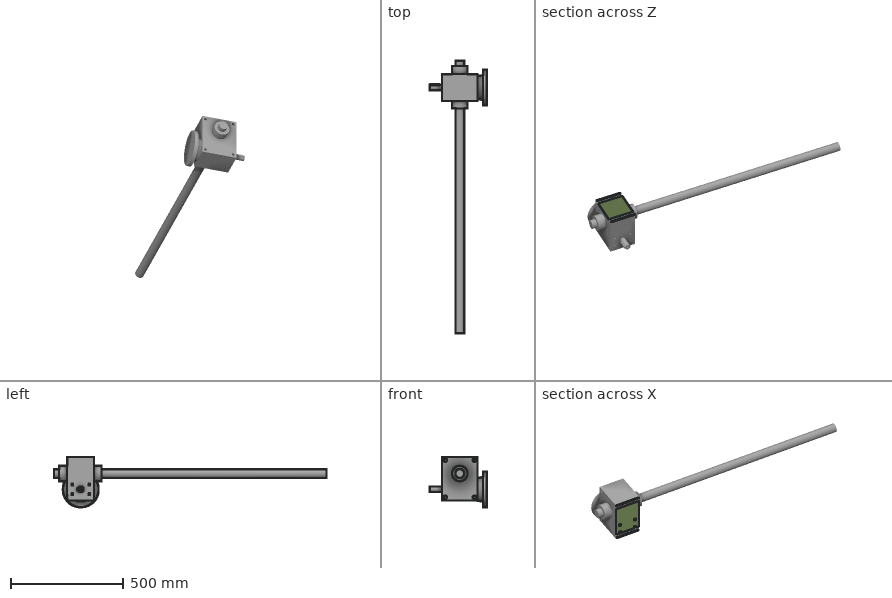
import cadquery as cq


housing_width = 159.0
housing_depth = 120.0
housing_height = 195.0
housing_top = 74.0
mount_hole_diameter = 13.0
mount_hole_pitch_x = 130.0
mount_hole_pitch_z = 165.0

sleeve_diameter = 69.0
front_sleeve_length = 33.0
rear_sleeve_length = 36.0

screw_diameter = 40.0
screw_length = 1215.0
screw_rear_overhang = 23.0

shaft_drop = 70.0
shaft_diameter = 25.0
shaft_length = 55.0
centre_hole_diameter = 6.7
centre_hole_depth = 18.0
key_length = 39.0
key_width = 9.0
key_height = 7.0
key_protrusion = 3.0
key_end_gap = 4.0

tapped_hole_diameter = 8.0
tapped_hole_depth = 18.0
tapped_hole_pitch_y = 75.0
tapped_hole_pitch_z = 43.0

hub_root_diameter = 103.0
hub_end_diameter = 110.0
hub_length = 24.0
flange_diameter = 160.0
flange_thickness = 17.0

housing_left = -housing_width / 2
housing_right = housing_width / 2
housing_front = -housing_depth / 2
housing_rear = housing_depth / 2
housing_mid_z = housing_top - housing_height / 2
shaft_end = housing_left - shaft_length
screw_rear_end = housing_rear + rear_sleeve_length + screw_rear_overhang
shaft_z = -shaft_drop


def cylinder_x(diameter, start, length, y=0, z=0):
    """Cylinder along +X from the plane X = start."""
    return cq.Workplane("YZ", origin=(start, y, z)).circle(diameter / 2).extrude(length)


def cylinder_y(diameter, start, length, x=0, z=0):
    """Cylinder along +Y from the plane Y = start."""
    return cq.Workplane("XZ", origin=(x, start, z)).circle(diameter / 2).extrude(-length)


def make_hub():
    """Hub that widens slightly from the housing to the flange."""
    root = cq.Workplane("YZ", origin=(housing_right, 0, shaft_z)).circle(hub_root_diameter / 2)
    return root.workplane(offset=hub_length).circle(hub_end_diameter / 2).loft(ruled=True)


def make_housing():
    """Gear housing with guide sleeves, motor flange and all its holes."""
    body = cq.Workplane("XY").box(housing_width, housing_depth, housing_height)
    body = body.translate((0, 0, housing_mid_z))

    sleeve_start = housing_front - front_sleeve_length
    sleeve_span = front_sleeve_length + housing_depth + rear_sleeve_length
    body = body.union(cylinder_y(sleeve_diameter, sleeve_start, sleeve_span))
    body = body.union(make_hub())
    body = body.union(cylinder_x(flange_diameter, housing_right + hub_length, flange_thickness, z=shaft_z))

    body = body.cut(cylinder_y(screw_diameter, sleeve_start, sleeve_span))

    for side_x in (-1, 1):
        for side_z in (-1, 1):
            hole_x = side_x * mount_hole_pitch_x / 2
            hole_z = housing_mid_z + side_z * mount_hole_pitch_z / 2
            body = body.cut(cylinder_y(mount_hole_diameter, housing_front, housing_depth, hole_x, hole_z))

    for side_y in (-1, 1):
        for side_z in (-1, 1):
            hole_y = side_y * tapped_hole_pitch_y / 2
            hole_z = shaft_z + side_z * tapped_hole_pitch_z / 2
            body = body.cut(
                cylinder_x(tapped_hole_diameter, housing_left, tapped_hole_depth, hole_y, hole_z)
            )
    return body


def make_screw():
    """Plain round lifting screw."""
    return cylinder_y(screw_diameter, screw_rear_end - screw_length, screw_length)


def make_key():
    """Parallel key on the rear side of the worm shaft."""
    key_outer_y = shaft_diameter / 2 + key_protrusion
    key = cq.Workplane("XY").box(key_length, key_height, key_width, centered=(False, False, True))
    return key.translate((shaft_end + key_end_gap, key_outer_y - key_height, shaft_z))


def make_worm_shaft(key):
    """Shaft end with a centre hole and a keyway that fits the key."""
    shaft = cylinder_x(shaft_diameter, shaft_end, shaft_length, z=shaft_z)
    shaft = shaft.cut(cylinder_x(centre_hole_diameter, shaft_end, centre_hole_depth, z=shaft_z))
    return shaft.cut(key)


housing = make_housing()
screw = make_screw()
key = make_key()
worm_shaft = make_worm_shaft(key)

result = cq.Compound.makeCompound([housing.val(), screw.val(), worm_shaft.val(), key.val()])